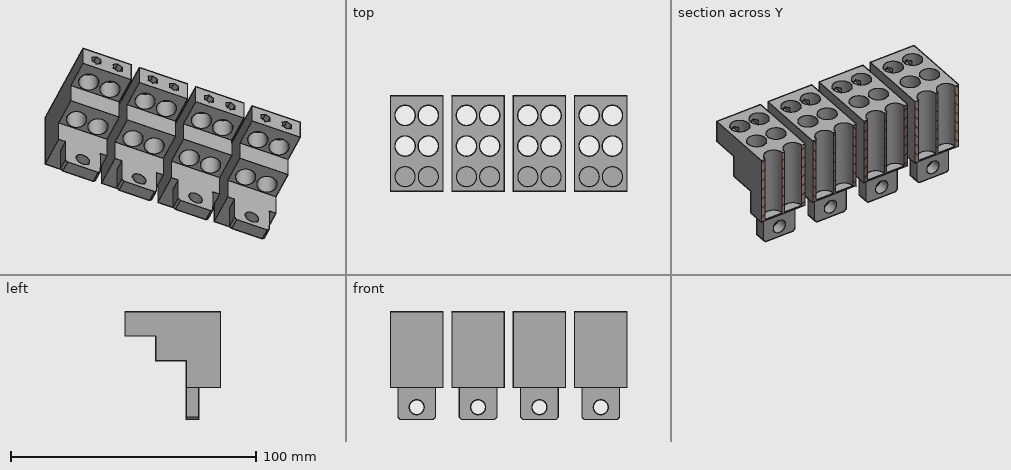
import cadquery as cq

BLOCK_COUNT = 4
ROW_LENGTH = 96.5
BLOCK_GAP = 3.6
BLOCK_WIDTH = (ROW_LENGTH - BLOCK_GAP * (BLOCK_COUNT - 1)) / BLOCK_COUNT
BLOCK_PITCH = BLOCK_WIDTH + BLOCK_GAP

TIER_COUNT = 3
BLOCK_LENGTH = 39.0
REAR_OVERHANG = 25.0
STEP_LENGTH = REAR_OVERHANG / (TIER_COUNT - 1)
STEP_HEIGHT = 10.0
BLOCK_HEIGHT = 31.0
MIDDLE_TIER_END = BLOCK_LENGTH - STEP_LENGTH
FRONT_TIER_END = BLOCK_LENGTH - REAR_OVERHANG

WIRE_HOLE_DIAMETER = 8.2
WIRE_HOLE_SPACING = 9.5
REAR_HOLE_INSET = 8.0

CLAMP_OPENING_SIDES = 6
CLAMP_OPENING_RADIUS = 2.3
CLAMP_OPENING_DROP = STEP_HEIGHT / 2

TAB_WIDTH = 15.4
TAB_THICKNESS = 5.1
TAB_LENGTH = 13.0
TAB_CHAMFER = 1.0
TAB_HOLE_DIAMETER = 6.0
TAB_HOLE_RISE = 5.0

CENTER_X = BLOCK_WIDTH / 2
HOLE_COLUMNS = [CENTER_X - WIRE_HOLE_SPACING / 2, CENTER_X + WIRE_HOLE_SPACING / 2]
REAR_HOLE_Y = BLOCK_LENGTH - REAR_HOLE_INSET


def stepped_body():
    """Staircase profile in the YZ plane, extruded across the block width."""
    profile = [
        (0, 0),
        (BLOCK_LENGTH, 0),
        (BLOCK_LENGTH, -STEP_HEIGHT),
        (MIDDLE_TIER_END, -STEP_HEIGHT),
        (MIDDLE_TIER_END, -2 * STEP_HEIGHT),
        (FRONT_TIER_END, -2 * STEP_HEIGHT),
        (FRONT_TIER_END, -BLOCK_HEIGHT),
        (0, -BLOCK_HEIGHT),
    ]
    return cq.Workplane("YZ").polyline(profile).close().extrude(BLOCK_WIDTH)


def wire_holes():
    """Hole depth grows one step per tier: rear and middle pairs pass through, the front pair is blind."""
    holes = cq.Workplane("XY")
    for tier in range(TIER_COUNT):
        hole_y = REAR_HOLE_Y - tier * STEP_LENGTH
        depth = (tier + 1) * STEP_HEIGHT
        pair = (
            cq.Workplane("XY")
            .pushPoints([(hole_x, hole_y) for hole_x in HOLE_COLUMNS])
            .circle(WIRE_HOLE_DIAMETER / 2)
            .extrude(-depth)
        )
        holes = holes.add(pair)
    return holes.combine()


def clamp_openings():
    """Hexagons with a corner on top, along Y from the rear face to the axes of the rear wire holes."""
    return (
        cq.Workplane("XZ", origin=(0, BLOCK_LENGTH, 0))
        .pushPoints([(hole_x, -CLAMP_OPENING_DROP) for hole_x in HOLE_COLUMNS])
        .sketch()
        .regularPolygon(CLAMP_OPENING_RADIUS, CLAMP_OPENING_SIDES)
        .finalize()
        .extrude(REAR_HOLE_INSET)
    )


def mounting_tab():
    """Flat tab with chamfered lower corners and a round hole along Y."""
    tab_bottom = -BLOCK_HEIGHT - TAB_LENGTH
    plate = (
        cq.Workplane("XY", origin=(CENTER_X, FRONT_TIER_END - TAB_THICKNESS / 2, tab_bottom))
        .rect(TAB_WIDTH, TAB_THICKNESS)
        .extrude(TAB_LENGTH)
    )
    plate = plate.faces("<Z").edges("|Y").chamfer(TAB_CHAMFER)
    hole = (
        cq.Workplane("XZ", origin=(CENTER_X, FRONT_TIER_END, tab_bottom + TAB_HOLE_RISE))
        .circle(TAB_HOLE_DIAMETER / 2)
        .extrude(TAB_THICKNESS)
    )
    return plate.cut(hole)


def terminal_block():
    """One block: stepped body and mounting tab in one piece, with all its holes."""
    body = stepped_body().cut(wire_holes()).cut(clamp_openings())
    return body.union(mounting_tab())


terminal_blocks = [
    terminal_block().translate((index * BLOCK_PITCH, 0, 0)) for index in range(BLOCK_COUNT)
]

result = cq.Compound.makeCompound([block.solids().val() for block in terminal_blocks])